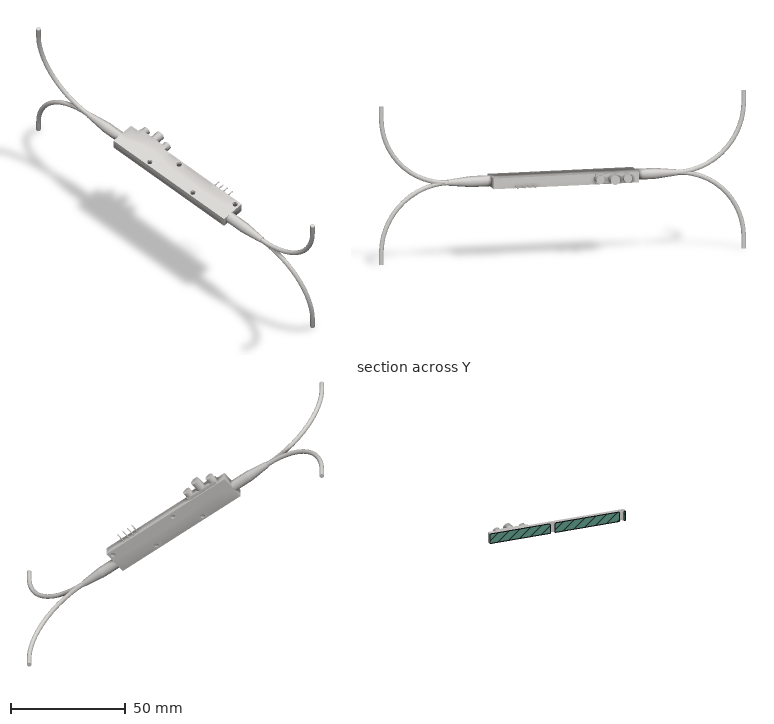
import cadquery as cq
import math

OVERALL_LENGTH = 164.0
OVERALL_DEPTH = 17.2
OVERALL_HEIGHT = 70.0

BODY_LENGTH = 65.0
BODY_DEPTH = 11.4
BODY_HEIGHT = 4.7

HOLE_DIAMETER = 2.0
HOLE_RIM_DIAMETER = 2.4
HOLE_RIM_DEPTH = 0.5
FRONT_HOLE_Y = 1.8
REAR_HOLE_Y = 9.4
HOLE_CENTERS = [
    (-12.9, FRONT_HOLE_Y),
    (12.5, FRONT_HOLE_Y),
    (-2.5, REAR_HOLE_Y),
    (30.5, REAR_HOLE_Y),
]

SLEEVE_DIAMETER = 4.8
SLEEVE_LENGTH = 8.6
TAPER_LENGTH = 10.1
TAPER_TIP_DIAMETER = 2.62
LEFT_AXIS_Y = 4.87
RIGHT_AXIS_Y = 3.87

TUBE_DIAMETER = 2.0
TUBE_AXIS_OFFSET = 0.06
TUBE_STRAIGHT_END = 5.0
QUARTER_TURN_MIDDLE = math.sqrt(0.5)

CONNECTOR_X = -20.6
CONNECTOR_HEIGHT = 3.9
CONNECTOR_Z = 0.3
FLANGE_DIAMETER = 15.88
FLANGE_THICKNESS = 1.4
BARREL_DIAMETER = 4.17
BARREL_LENGTH = OVERALL_DEPTH - BODY_DEPTH - FLANGE_THICKNESS
SCREW_HEAD_DIAMETER = 3.66
SCREW_HEAD_LENGTH = 2.4
SCREW_SPACING = 12.3

PIN_DIAMETER = 0.5
PIN_LENGTH = 4.9
PIN_CENTERS_X = [14.8, 17.3, 19.8, 22.7]
PIN_Z = -1.5


def rear_cylinder(x, y_start, z, diameter, length):
    """Cylinder that starts at y_start and points toward +Y."""
    return cq.Workplane(cq.Solid.makeCylinder(
        diameter / 2, length, cq.Vector(x, y_start, z), cq.Vector(0, 1, 0)))


def make_housing():
    """Bar with the four vertical holes and their rims."""
    housing = cq.Workplane("XY").box(BODY_LENGTH, BODY_DEPTH, BODY_HEIGHT, centered=(True, False, True))
    holes = (
        cq.Workplane("XY", origin=(0, 0, -BODY_HEIGHT / 2))
        .pushPoints(HOLE_CENTERS)
        .circle(HOLE_DIAMETER / 2)
        .extrude(BODY_HEIGHT)
    )
    rims = (
        cq.Workplane("XY", origin=(0, 0, BODY_HEIGHT / 2))
        .pushPoints(HOLE_CENTERS)
        .circle(HOLE_RIM_DIAMETER / 2)
        .extrude(-HOLE_RIM_DEPTH)
    )
    return housing.cut(holes).cut(rims)


def make_strain_relief(side, axis_y):
    """Sleeve and taper on the end given by side (-1 for -X, +1 for +X)."""
    sleeve_start = side * BODY_LENGTH / 2
    taper_start = sleeve_start + side * SLEEVE_LENGTH
    taper_end = taper_start + side * TAPER_LENGTH
    return (
        cq.Workplane("XY", origin=(0, axis_y, 0))
        .moveTo(sleeve_start, 0)
        .lineTo(sleeve_start, SLEEVE_DIAMETER / 2)
        .lineTo(taper_start, SLEEVE_DIAMETER / 2)
        .lineTo(taper_end, TAPER_TIP_DIAMETER / 2)
        .lineTo(taper_end, 0)
        .close()
        .revolve(360, (0, 0, 0), (1, 0, 0))
    )


def make_tube(side, axis_y, direction):
    """Tube that leaves the taper along X and bends a quarter turn toward direction * Z."""
    start_x = side * (BODY_LENGTH / 2 + SLEEVE_LENGTH + TAPER_LENGTH / 2)
    start_z = direction * TUBE_AXIS_OFFSET
    tube_end_x = (OVERALL_LENGTH - TUBE_DIAMETER) / 2
    bend_end_z = OVERALL_HEIGHT / 2 - TUBE_STRAIGHT_END
    bend_radius = bend_end_z - TUBE_AXIS_OFFSET
    bend_start_x = tube_end_x - bend_radius
    middle = bend_radius * QUARTER_TURN_MIDDLE
    path = (
        cq.Workplane("XZ", origin=(0, axis_y, 0))
        .moveTo(start_x, start_z)
        .lineTo(side * bend_start_x, start_z)
        .threePointArc(
            (side * (bend_start_x + middle), direction * (bend_end_z - middle)),
            (side * tube_end_x, direction * bend_end_z),
        )
        .lineTo(side * tube_end_x, direction * OVERALL_HEIGHT / 2)
    )
    return (
        cq.Workplane("YZ", origin=(start_x, axis_y, start_z))
        .circle(TUBE_DIAMETER / 2)
        .sweep(path)
    )


def make_connector():
    """Flange, barrel and screw heads standing on the rear face of the housing."""
    flange = rear_cylinder(CONNECTOR_X, BODY_DEPTH, CONNECTOR_Z, FLANGE_DIAMETER, FLANGE_THICKNESS)
    band = (
        cq.Workplane("XY", origin=(CONNECTOR_X, BODY_DEPTH, CONNECTOR_Z))
        .box(FLANGE_DIAMETER, FLANGE_THICKNESS, CONNECTOR_HEIGHT, centered=(True, False, True))
    )
    connector = flange.intersect(band)
    face_y = BODY_DEPTH + FLANGE_THICKNESS
    connector = connector.union(
        rear_cylinder(CONNECTOR_X, face_y, CONNECTOR_Z, BARREL_DIAMETER, BARREL_LENGTH))
    for side in (-1, 1):
        screw_x = CONNECTOR_X + side * SCREW_SPACING / 2
        connector = connector.union(
            rear_cylinder(screw_x, face_y, CONNECTOR_Z, SCREW_HEAD_DIAMETER, SCREW_HEAD_LENGTH))
    return connector


result = make_housing().union(make_connector())
for side, axis_y in ((-1, LEFT_AXIS_Y), (1, RIGHT_AXIS_Y)):
    result = result.union(make_strain_relief(side, axis_y))
    for direction in (-1, 1):
        result = result.union(make_tube(side, axis_y, direction))
for pin_x in PIN_CENTERS_X:
    result = result.union(rear_cylinder(pin_x, BODY_DEPTH, PIN_Z, PIN_DIAMETER, PIN_LENGTH))